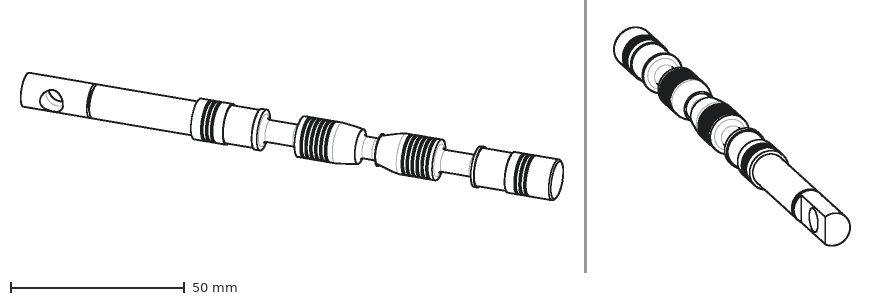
import cadquery as cq

LENGTH = 162.0

shank_r = 10.0 / 2
land_r = 12.0 / 2
relief_r = 11.2 / 2
neck_r = 6.5 / 2
neck_fillet = 1.5

first_land_start = 52.3
first_relief_start = 62.0
first_relief_end = 70.8
first_land_end = 72.4
second_land_start = 83.9
second_land_end = 95.4
second_nose_end = 102.0
third_nose_start = 108.0
third_land_start = 114.9
third_land_end = 125.9
fourth_land_start = 137.7
second_relief_start = 138.6
second_relief_end = 148.0

second_nose_r = 5.1
second_nose_mid_r = 5.65
third_nose_r = 4.2
third_nose_mid_r = 5.3
end_chamfer = 0.5
end_chamfer_depth = 0.5

ring_groove_start = 20.2
ring_groove_width = 0.8
ring_groove_r = 7.0 / 2

fine_groove_r = 11.5 / 2
fine_groove_width = 0.5
fine_groove_pitch = 1.5

fine_groove_groups = [
    (55.6, 3),
    (85.9, 6),
    (116.8, 6),
    (151.2, 3),
]

flat_length = 19.2
flat_y = 2.7
cross_hole_x = 9.4
cross_hole_r = 7.0 / 2


def add_neck(profile, start, end):
    """Continue the profile along a neck that flares with a fillet into the faces at both ends."""
    flare_r = neck_r + neck_fillet
    mid_offset = neck_fillet * (1 - 0.5 ** 0.5)
    return (
        profile.lineTo(start, flare_r)
        .threePointArc((start + mid_offset, neck_r + mid_offset), (start + neck_fillet, neck_r))
        .lineTo(end - neck_fillet, neck_r)
        .threePointArc((end - mid_offset, neck_r + mid_offset), (end, flare_r))
    )


def turned_shaft():
    """Revolve the outline of the shaft about X."""
    profile = (
        cq.Workplane("XY")
        .lineTo(0, shank_r)
        .lineTo(first_land_start, shank_r)
        .lineTo(first_land_start, land_r)
        .lineTo(first_relief_start, land_r)
        .lineTo(first_relief_start, relief_r)
        .lineTo(first_relief_end, relief_r)
        .lineTo(first_relief_end, land_r)
        .lineTo(first_land_end, land_r)
    )
    profile = add_neck(profile, first_land_end, second_land_start)
    second_nose_mid = (second_land_end + second_nose_end) / 2
    profile = (
        profile.lineTo(second_land_start, land_r)
        .lineTo(second_land_end, land_r)
        .threePointArc((second_nose_mid, second_nose_mid_r), (second_nose_end, second_nose_r))
    )
    profile = add_neck(profile, second_nose_end, third_nose_start)
    third_nose_mid = (third_nose_start + third_land_start) / 2
    profile = (
        profile.lineTo(third_nose_start, third_nose_r)
        .threePointArc((third_nose_mid, third_nose_mid_r), (third_land_start, land_r))
        .lineTo(third_land_end, land_r)
    )
    profile = add_neck(profile, third_land_end, fourth_land_start)
    profile = (
        profile.lineTo(fourth_land_start, land_r)
        .lineTo(second_relief_start, land_r)
        .lineTo(second_relief_start, relief_r)
        .lineTo(second_relief_end, relief_r)
        .lineTo(second_relief_end, land_r)
        .lineTo(LENGTH - end_chamfer, land_r)
        .lineTo(LENGTH, land_r - end_chamfer_depth)
        .lineTo(LENGTH, 0)
        .close()
    )
    return profile.revolve(360, (0, 0, 0), (1, 0, 0))


def ring_cutter(start, width, floor_r):
    """Ring that cuts a square groove down to floor_r."""
    return cq.Workplane("YZ").workplane(offset=start).circle(2 * land_r).circle(floor_r).extrude(width)


def cut_grooves(body):
    body = body.cut(ring_cutter(ring_groove_start, ring_groove_width, ring_groove_r))
    for first_centre, count in fine_groove_groups:
        for index in range(count):
            start = first_centre + index * fine_groove_pitch - fine_groove_width / 2
            body = body.cut(ring_cutter(start, fine_groove_width, fine_groove_r))
    return body


def cut_flat_and_hole(body):
    flat = cq.Workplane("XY").box(flat_length, shank_r, 2 * land_r, centered=(False, False, True))
    cross_hole = (
        cq.Workplane("XZ").center(cross_hole_x, 0).circle(cross_hole_r).extrude(land_r, both=True)
    )
    return body.cut(flat.translate((0, flat_y, 0))).cut(cross_hole)


result = cut_flat_and_hole(cut_grooves(turned_shaft()))